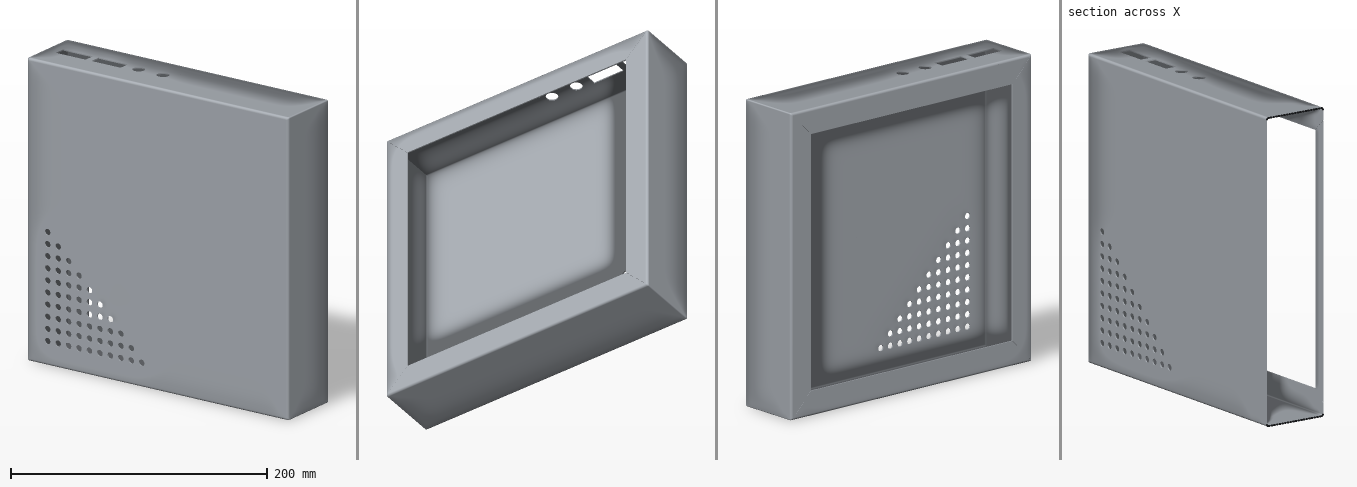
import cadquery as cq
import math

side = 250.0
depth = 55.0
sheet = 1.0
bend_radius = 2.0
corner_radius = 1.0

lip_width = 20.5
seam_gap = 0.1

vent_rows = 10
vent_pitch = 10.0
vent_left = 19.8
vent_bottom = 20.0
vent_diameter = 5.2

port_y = 27.8
port_width = 10.0
slot_spans = [(11.5, 40.0), (45.5, 73.5)]
jack_centers = [87.2, 110.5]
jack_diameter = port_width


def square_block(inset):
    """Block set in from the outer case by the same distance on every side."""
    block_side = side - 2 * inset
    block = cq.Workplane("XY").box(block_side, depth - 2 * inset, block_side, centered=False)
    return block.translate((inset, inset, inset))


def round_panel_edges(block, radius):
    """Round the edges around the front and back faces."""
    return block.faces("<Y or >Y").edges().fillet(radius)


def case_shell():
    """Hollow sheet case with rounded bends, closed on all six sides."""
    outside = square_block(0).edges("|Y").fillet(corner_radius)
    outside = round_panel_edges(outside, bend_radius)
    inside = round_panel_edges(square_block(sheet), bend_radius - sheet)
    return outside.cut(inside)


def back_opening():
    """Square opening through the back that leaves the lip around it."""
    opening_side = side - 2 * lip_width
    opening = cq.Workplane("XY").box(opening_side, depth / 2, opening_side, centered=False)
    return opening.translate((lip_width, depth / 2, lip_width))


def lip_seams():
    """Narrow 45 degree gaps through the back where neighbouring lips meet."""
    seam_start = bend_radius
    seam_end = lip_width + seam_gap
    seam_length = (seam_end - seam_start) * math.sqrt(2)
    seam_center = (seam_start + seam_end) / 2
    corner_seam = (
        cq.Workplane("XY")
        .box(seam_length, depth / 2, seam_gap)
        .rotate((0, 0, 0), (0, 1, 0), -45)
        .translate((seam_center, depth, seam_center))
    )
    middle = (side / 2, 0, side / 2)
    middle_ahead = (side / 2, 1, side / 2)
    seams = corner_seam
    for angle in (90, 180, 270):
        seams = seams.union(corner_seam.rotate(middle, middle_ahead, angle))
    return seams


def vent_holes():
    """Holes on a square grid, each row one hole shorter than the row below."""
    centers = [
        (vent_left + column * vent_pitch, vent_bottom + row * vent_pitch)
        for row in range(vent_rows)
        for column in range(vent_rows - row)
    ]
    return (
        cq.Workplane("XZ")
        .pushPoints(centers)
        .circle(vent_diameter / 2)
        .extrude(-depth / 2)
    )


def port_cutouts():
    """Two rectangular slots and two round jack holes through the top wall."""
    port_line = cq.Workplane("XY", origin=(0, port_y, side / 2))
    cutouts = (
        port_line
        .pushPoints([(x, 0) for x in jack_centers])
        .circle(jack_diameter / 2)
        .extrude(side / 2)
    )
    for start, end in slot_spans:
        slot = port_line.center((start + end) / 2, 0).rect(end - start, port_width).extrude(side / 2)
        cutouts = cutouts.union(slot)
    return cutouts


result = (
    case_shell()
    .cut(back_opening())
    .cut(lip_seams())
    .cut(vent_holes())
    .cut(port_cutouts())
)